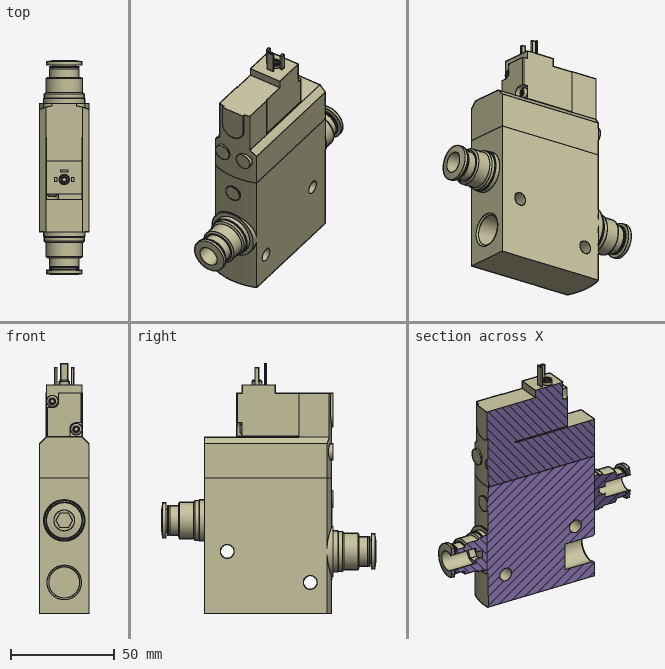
import cadquery as cq
import math


WIDTH = 24.0
PAD_PLANE = 61.9
PAD_HEIGHT = 0.6
REAR_CROWN = PAD_PLANE - PAD_HEIGHT
REAR_SAGITTA = 2.3
BASE_HEIGHT = 65.3
SHOULDER_HEIGHT = 85.1
SHOULDER_CHAMFER = 3.1
PILOT_WIDTH = WIDTH - 2 * SHOULDER_CHAMFER
PILOT_TOP = 106.3
PILOT_FRONT = 45.4

PORT_PITCH = 15.0
EXHAUST_Z = 15.1
REAR_PORT_Z = EXHAUST_Z + PORT_PITCH
FRONT_PORT_Z = REAR_PORT_Z + PORT_PITCH
EXHAUST_DIAMETER = 15.0
EXHAUST_RIM_DIAMETER = 16.6
EXHAUST_DEPTH = 16.9
MOUNT_DIAMETER = 6.5
MOUNT_POINTS = [(51.0, EXHAUST_Z), (11.0, REAR_PORT_Z)]

PORT_PAD_DIAMETER = 24.2
BUTTON_DIAMETER = 8.0
BUTTON_POINTS = [(-6.0, 78.0), (6.0, 78.0), (0, 55.2)]
TONGUE_WIDTH = 11.9
TONGUE_BOTTOM = 90.1
PAD_ROOT = PAD_PLANE - 4.8

SEAT_DIAMETER = 20.0
SEAT_END = 2.3
GROOVE_DIAMETER = 19.0
GROOVE_END = 2.7
RING_DIAMETER = 19.4
RING_END = 4.5
BARREL_DIAMETER = 17.7
BARREL_START = 5.2
BARREL_END = 11.9
BARREL_TIP_DIAMETER = 15.8
NECK_DIAMETER = 14.3
NECK_START = 12.5
NECK_GROOVE_DIAMETER = 13.9
NECK_GROOVE_START = 16.6
NECK_GROOVE_END = 17.2
NECK_END = 17.8
COLLET_DIAMETER = 11.5
FLANGE_DIAMETER = 17.1
FLANGE_START = 18.4
FLANGE_END = 20.1
FACE_DIAMETER = 10.8
FITTING_LENGTH = 20.6
TUBE_BORE_DIAMETER = 10.0
TUBE_BORE_DEPTH = 14.5
HEX_ACROSS_FLATS = 7.0
HEX_DEPTH = 3.6

COIL_WIDTH = 17.1
COIL_GAP = 0.4
COIL_BOTTOM = SHOULDER_HEIGHT + COIL_GAP
COIL_FRONT = 15.5
COIL_STEP = 18.2
COIL_EDGE_CHAMFER = 0.5
TERMINAL_BACK = 34.1
TERMINAL_TOP = 110.3
SCREW_X = 5.8
SCREW_Z_MIDDLE = 95.7
SCREW_Z_OFFSET = 6.7
SCREW_DIAMETER = 5.5
SCREW_TOP_DIAMETER = 3.1
SCREW_HEIGHT = 1.1
SCREW_SOCKET_DIAMETER = 2.0
SCREW_SOCKET_DEPTH = 0.7
POCKET_RADIUS = 3.1

POST_Y = 25.3
POST_DIAMETER = 5.0
POST_HEIGHT = 1.6
POST_TIP_DIAMETER = 4.1
POST_TIP_HEIGHT = 0.7
POST_HOLE_DIAMETER = 2.0
POST_HOLE_RIM_DIAMETER = 2.8
EARTH_PIN_Y = 29.4
EARTH_PIN_SIZE = (3.5, 0.8)
EARTH_PIN_TOP = 120.5
SIDE_PIN_X = 4.0
SIDE_PIN_SIZE = (1.2, 1.9)
SIDE_PIN_TOP = 118.6


def block(x_size, y_start, y_end, z_start, z_end):
    """Box centred on x = 0 between the given y and z limits."""
    box = cq.Workplane("XY").box(x_size, y_end - y_start, z_end - z_start, centered=(True, False, False))
    return box.translate((0, y_start, z_start))


def facing_front(y):
    """Sketch plane at y whose normal points to -Y, with x to the right and z up."""
    return cq.Workplane("XZ", origin=(0, y, 0))


def valve_core():
    """Block with an arched rear face, shouldered up to the narrower pilot block."""
    half = WIDTH / 2
    side_depth = REAR_CROWN - REAR_SAGITTA
    plan = (
        cq.Workplane("XY")
        .moveTo(-half, 0)
        .lineTo(half, 0)
        .lineTo(half, side_depth)
        .threePointArc((0, REAR_CROWN), (-half, side_depth))
        .close()
        .extrude(PILOT_TOP)
    )
    pilot_half = PILOT_WIDTH / 2
    elevation = (
        facing_front(0)
        .polyline([
            (-half, 0),
            (half, 0),
            (half, SHOULDER_HEIGHT - SHOULDER_CHAMFER),
            (pilot_half, SHOULDER_HEIGHT),
            (pilot_half, PILOT_TOP),
            (-pilot_half, PILOT_TOP),
            (-pilot_half, SHOULDER_HEIGHT),
            (-half, SHOULDER_HEIGHT - SHOULDER_CHAMFER),
        ])
        .close()
        .extrude(-PAD_PLANE)
    )
    coil_space = block(WIDTH, 0, PILOT_FRONT, SHOULDER_HEIGHT, PILOT_TOP)
    return plan.intersect(elevation).cut(coil_space)


def rear_pads():
    """Flat raised pads: one round the rear port, three buttons and a round-ended tongue."""
    thickness = PAD_PLANE - PAD_ROOT
    pads = facing_front(PAD_PLANE).center(0, REAR_PORT_Z).circle(PORT_PAD_DIAMETER / 2).extrude(thickness)
    pads = pads.intersect(block(WIDTH, PAD_ROOT, PAD_PLANE, 0, PILOT_TOP))
    buttons = facing_front(PAD_PLANE).pushPoints(BUTTON_POINTS).circle(BUTTON_DIAMETER / 2).extrude(thickness)
    tongue_half = TONGUE_WIDTH / 2
    tongue = (
        facing_front(PAD_PLANE)
        .moveTo(-tongue_half, PILOT_TOP)
        .lineTo(-tongue_half, TONGUE_BOTTOM + tongue_half)
        .threePointArc((0, TONGUE_BOTTOM), (tongue_half, TONGUE_BOTTOM + tongue_half))
        .lineTo(tongue_half, PILOT_TOP)
        .close()
        .extrude(thickness)
    )
    return pads.union(buttons).union(tongue)


def valve_slice(z_start, z_end):
    """Part of the valve, with its rear pads, between two heights."""
    valve = valve_core().union(rear_pads())
    return valve.intersect(block(WIDTH, 0, PAD_PLANE, z_start, z_end))


def exhaust_port():
    """Blind bore with a 45 degree rim, opening on the front face."""
    radius = EXHAUST_DIAMETER / 2
    rim_radius = EXHAUST_RIM_DIAMETER / 2
    return (
        cq.Workplane("XY")
        .polyline([
            (0, 0),
            (rim_radius, 0),
            (radius, rim_radius - radius),
            (radius, EXHAUST_DEPTH),
            (0, EXHAUST_DEPTH),
        ])
        .close()
        .revolve(360, (0, 0), (0, 1))
        .translate((0, 0, EXHAUST_Z))
    )


def mounting_holes():
    return (
        cq.Workplane("YZ", origin=(-WIDTH / 2, 0, 0))
        .pushPoints(MOUNT_POINTS)
        .circle(MOUNT_DIAMETER / 2)
        .extrude(WIDTH)
    )


def make_base():
    return valve_slice(0, BASE_HEIGHT).cut(exhaust_port()).cut(mounting_holes())


def make_fitting():
    """Fitting with its seat on y = 0, pointing to -Y."""
    profile = [
        (0, 0),
        (SEAT_DIAMETER, 0),
        (SEAT_DIAMETER, SEAT_END),
        (GROOVE_DIAMETER, SEAT_END),
        (GROOVE_DIAMETER, GROOVE_END),
        (RING_DIAMETER, GROOVE_END),
        (RING_DIAMETER, RING_END),
        (BARREL_DIAMETER, BARREL_START),
        (BARREL_DIAMETER, BARREL_END),
        (BARREL_TIP_DIAMETER, NECK_START),
        (NECK_DIAMETER, NECK_START),
        (NECK_DIAMETER, NECK_GROOVE_START),
        (NECK_GROOVE_DIAMETER, NECK_GROOVE_START),
        (NECK_GROOVE_DIAMETER, NECK_GROOVE_END),
        (NECK_DIAMETER, NECK_GROOVE_END),
        (NECK_DIAMETER, NECK_END),
        (COLLET_DIAMETER, NECK_END),
        (COLLET_DIAMETER, FLANGE_START),
        (FLANGE_DIAMETER, FLANGE_START),
        (FLANGE_DIAMETER, FLANGE_END),
        (FACE_DIAMETER, FITTING_LENGTH),
        (0, FITTING_LENGTH),
    ]
    outer = (
        cq.Workplane("XY")
        .polyline([(diameter / 2, -distance) for diameter, distance in profile])
        .close()
        .revolve(360, (0, 0), (0, 1))
    )
    bore_floor = FITTING_LENGTH - TUBE_BORE_DEPTH
    bore = facing_front(-bore_floor).circle(TUBE_BORE_DIAMETER / 2).extrude(TUBE_BORE_DEPTH)
    hex_across_corners = HEX_ACROSS_FLATS / math.cos(math.pi / 6)
    hex_socket = facing_front(HEX_DEPTH - bore_floor).polygon(6, hex_across_corners).extrude(HEX_DEPTH)
    return outer.cut(bore).cut(hex_socket)


def make_fittings():
    """One fitting on the front port and one, turned round, on the rear port."""
    placements = [(0, FRONT_PORT_Z, 0), (PAD_PLANE, REAR_PORT_Z, 180)]
    fittings = []
    for seat_y, port_z, turn in placements:
        fitting = make_fitting().rotate((0, 0, 0), (0, 0, 1), turn)
        fittings.append(fitting.translate((0, seat_y, port_z)))
    return fittings


def screw_pocket():
    """Upper left corner cut of the front plate, rounded about the screw."""
    screw_z = SCREW_Z_MIDDLE + SCREW_Z_OFFSET
    inner_x = POCKET_RADIUS - SCREW_X
    floor_z = screw_z - POCKET_RADIUS
    arc_middle = POCKET_RADIUS * math.sqrt(0.5)
    return (
        facing_front(COIL_STEP)
        .moveTo(-COIL_WIDTH, PILOT_TOP)
        .lineTo(inner_x, PILOT_TOP)
        .lineTo(inner_x, screw_z)
        .threePointArc((arc_middle - SCREW_X, screw_z - arc_middle), (-SCREW_X, floor_z))
        .lineTo(-COIL_WIDTH, floor_z)
        .close()
        .extrude(COIL_STEP - COIL_FRONT)
    )


def screw_head():
    """Tapered head with a round socket, standing in the upper left pocket."""
    radius = SCREW_DIAMETER / 2
    socket_radius = SCREW_SOCKET_DIAMETER / 2
    socket_floor = SCREW_HEIGHT - SCREW_SOCKET_DEPTH
    return (
        cq.Workplane("XY")
        .polyline([
            (0, 0),
            (radius, 0),
            (SCREW_TOP_DIAMETER / 2, -SCREW_HEIGHT),
            (socket_radius, -SCREW_HEIGHT),
            (socket_radius, -socket_floor),
            (0, -socket_floor),
        ])
        .close()
        .revolve(360, (0, 0), (0, 1))
        .translate((-SCREW_X, COIL_STEP, SCREW_Z_MIDDLE + SCREW_Z_OFFSET))
    )


def terminal_post():
    """Stepped round post with a countersunk blind hole."""
    base = cq.Workplane("XY").circle(POST_DIAMETER / 2).extrude(POST_HEIGHT)
    post = base.faces(">Z").workplane().circle(POST_TIP_DIAMETER / 2).extrude(POST_TIP_HEIGHT)
    post = post.faces(">Z").workplane().cskHole(POST_HOLE_DIAMETER, POST_HOLE_RIM_DIAMETER, 90, POST_HEIGHT)
    return post.translate((0, POST_Y, TERMINAL_TOP))


def terminal_pin(x, y, size, top):
    return cq.Workplane("XY", origin=(x, y, TERMINAL_TOP)).rect(*size).extrude(top - TERMINAL_TOP)


def make_coil():
    """Coil block with its screw pockets, screws and terminals."""
    coil = block(COIL_WIDTH, COIL_FRONT, PILOT_FRONT, COIL_BOTTOM, PILOT_TOP)
    coil = coil.edges("|Z and <Y").chamfer(COIL_EDGE_CHAMFER)
    coil = coil.union(block(COIL_WIDTH, COIL_STEP, TERMINAL_BACK, COIL_BOTTOM, TERMINAL_TOP))

    for turn in (0, 180):
        axis_start = (0, 0, SCREW_Z_MIDDLE)
        axis_end = (0, 1, SCREW_Z_MIDDLE)
        coil = coil.cut(screw_pocket().rotate(axis_start, axis_end, turn))
        coil = coil.union(screw_head().rotate(axis_start, axis_end, turn))

    coil = coil.union(terminal_post())
    coil = coil.union(terminal_pin(0, EARTH_PIN_Y, EARTH_PIN_SIZE, EARTH_PIN_TOP))
    for side in (-1, 1):
        coil = coil.union(terminal_pin(side * SIDE_PIN_X, POST_Y, SIDE_PIN_SIZE, SIDE_PIN_TOP))
    return coil


def make_head():
    """Upper part of the valve with the pilot block and the coil in one piece."""
    return valve_slice(BASE_HEIGHT, PILOT_TOP).union(make_coil())


base = make_base()
head = make_head()
fittings = make_fittings()

result = cq.Compound.makeCompound([
    base.val(),
    head.val(),
    *[fitting.val() for fitting in fittings],
])